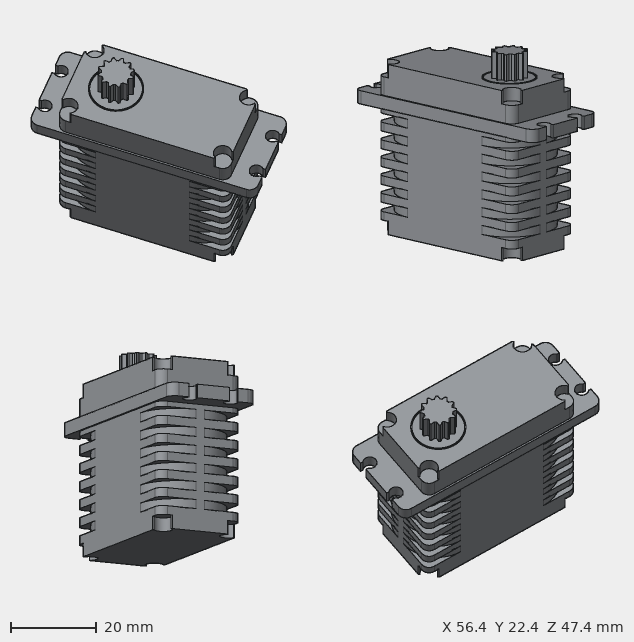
import cadquery as cq
import math

case_length = 42.65
case_width = 21.4
case_height = 41.0
corner_radius = 2.15

flange_length = 56.4
flange_width = 22.35
flange_thickness = 3.2
flange_bottom = 30.1

mount_hole_radius = 1.65
mount_hole_inset = 1.85
mount_hole_spacing = 10.65
mount_slot_width = 2.2

recess_depth = 3.2
recess_bevel = 3.5

slot_count = 6
slot_height = 2.15
slot_pitch = 4.3
first_slot_bottom = 5.3
slot_reach = 9.6

overall_height = 47.4
shaft_height = overall_height - case_height
shaft_x = (case_width - case_length) / 2
tooth_count = 12
tooth_tip_distance = 4.3
tooth_tip_width = 0.4
valley_floor_distance = 3.45
valley_floor_width = 0.5

groove_outer_radius = 6.45
groove_inner_radius = 6.15
groove_depth = 0.15


def rounded_block(length, width, height, radius, bottom):
    """Upright block centred on the Z axis, with rounded vertical edges."""
    block = cq.Workplane("XY", origin=(0, 0, bottom)).rect(length, width).extrude(height)
    return block.edges("|Z").fillet(radius)


def make_flange():
    flange = rounded_block(flange_length, flange_width, flange_thickness, corner_radius, flange_bottom)
    hole_x = flange_length / 2 - mount_hole_inset
    plane = cq.Workplane("XY", origin=(0, 0, flange_bottom))
    for side_x in (-1, 1):
        for side_y in (-1, 1):
            hole_y = side_y * mount_hole_spacing / 2
            hole = plane.center(side_x * hole_x, hole_y).circle(mount_hole_radius).extrude(flange_thickness)
            mouth = (
                plane.center(side_x * flange_length / 2, hole_y)
                .rect(2 * mount_hole_inset, mount_slot_width)
                .extrude(flange_thickness)
            )
            flange = flange.cut(hole).cut(mouth)
    return flange


def corner_recesses(bottom):
    """Round screw pockets, each opened outwards by a 45 degree bevel across the case corner."""
    plane = cq.Workplane("XY", origin=(0, 0, bottom))
    centre_x = case_length / 2 - corner_radius
    centre_y = case_width / 2 - corner_radius
    pockets = plane.rect(2 * centre_x, 2 * centre_y, forConstruction=True).vertices()
    pockets = pockets.circle(corner_radius).extrude(recess_depth)
    envelope = plane.rect(case_length, case_width).extrude(recess_depth)
    bevels = envelope.cut(envelope.edges("|Z").chamfer(recess_bevel))
    return pockets.union(bevels)


def cooling_slots():
    """Slots cut around each corner, down to a core with large rounded corners."""
    core = rounded_block(case_length, case_width, slot_height, slot_reach, first_slot_bottom)
    layer = (
        cq.Workplane("XY", origin=(0, 0, first_slot_bottom))
        .rect(case_length, case_width)
        .extrude(slot_height)
        .cut(core)
    )
    return [layer.translate((0, 0, index * slot_pitch)) for index in range(slot_count)]


def facet_ends(distance, width, angle):
    """Ends of a flat facet that faces outwards at an angle, at a distance from the shaft axis."""
    cosine = math.cos(angle)
    sine = math.sin(angle)
    return [
        (distance * cosine - offset * sine, distance * sine + offset * cosine)
        for offset in (-width / 2, width / 2)
    ]


def make_shaft():
    """Splined shaft with flat-topped teeth and flat-bottomed valleys."""
    pitch_angle = 2 * math.pi / tooth_count
    points = []
    for tooth in range(tooth_count):
        angle = tooth * pitch_angle
        points += facet_ends(tooth_tip_distance, tooth_tip_width, angle)
        points += facet_ends(valley_floor_distance, valley_floor_width, angle + pitch_angle / 2)
    plane = cq.Workplane("XY", origin=(shaft_x, 0, case_height))
    return plane.polyline(points).close().extrude(shaft_height)


def shaft_groove():
    plane = cq.Workplane("XY", origin=(shaft_x, 0, case_height - groove_depth))
    return plane.circle(groove_outer_radius).circle(groove_inner_radius).extrude(groove_depth)


case = rounded_block(case_length, case_width, case_height, corner_radius, 0)
for slot in cooling_slots():
    case = case.cut(slot)
case = case.cut(corner_recesses(0)).cut(corner_recesses(case_height - recess_depth))
case = case.cut(shaft_groove())

result = case.union(make_flange()).union(make_shaft())